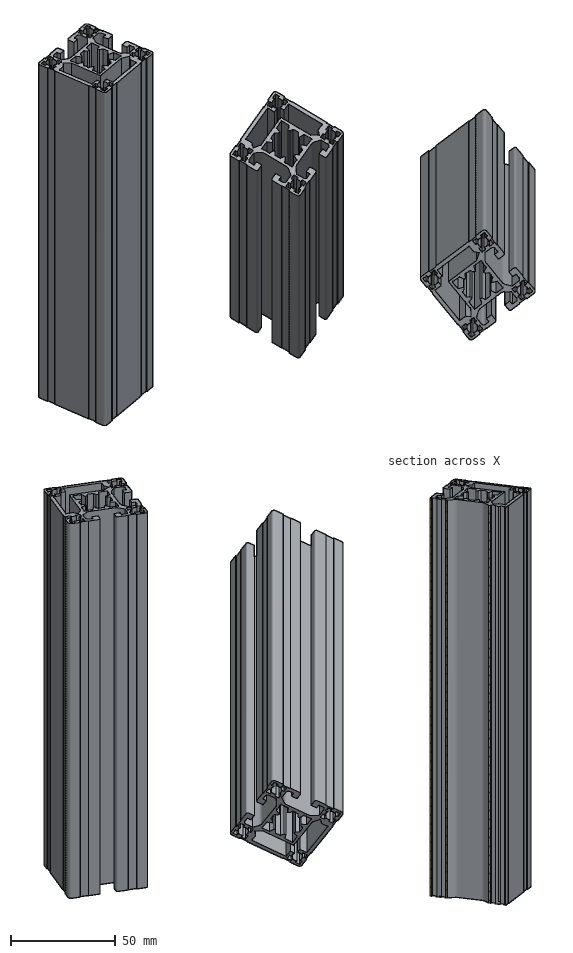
import cadquery as cq
import math

SIDE = 40.0
LENGTH = 200.0
HALF = SIDE / 2
CORNER_RADIUS = 1.5

CORE_OUTER = 10.0
CORE_INNER = 8.7
PANEL_INNER = 17.8
CHAMBER_WALL = 10.6

GROOVE_NEAR = 10.0
GROOVE_FAR = 14.2
GROOVE_DEPTH = 0.45
FACE_INSET = 0.2
FACE = HALF - FACE_INSET

CHANNEL_CENTRE = 15.2
CHANNEL_SIDE = 7.0
KEY_WIDTH = 2.5
CHANNEL_BORE_RADIUS = 2.55

SLOT_HALF_OPENING = 4.0
LIP_HALF_OUTER = 7.1
LIP_BOTTOM = 15.8
LIP_EDGE_RADIUS = 1.0
SLOT_CORNER_RADIUS = 1.3
SLOT_TAPER_START = 12.6
TAPER_HALF_FLOOR = 7.2
SLOT_TAPER_BLEND = 3.0

RIB_CIRCLE_RADIUS = 6.9
RIB_OUTER_FOOT = 4.3
RIB_OUTER_TIP = 3.3
RIB_INNER_TIP = 2.35
RIB_INNER_FOOT = 1.5
RIB_FOOT_WALL = 8.55
RIB_VALLEY = 8.0

CHAMBER_END = 8.7
CHAMBER_POINT = 12.3
CHAMBER_STEP = 14.2

QUARTER_TURNS = (0, 90, 180, 270)
SLOT_TURNS = (0, 90)


def prism(points):
    return cq.Workplane("XY").polyline(points).close().extrude(LENGTH)


def block(x_min, x_max, y_min, y_max):
    return prism([(x_min, y_min), (x_max, y_min), (x_max, y_max), (x_min, y_max)])


def rod(radius, x=0, y=0):
    return cq.Workplane("XY").center(x, y).circle(radius).extrude(LENGTH)


def turned(body, angle):
    return body.rotate((0, 0, 0), (0, 0, 1), angle)


def mirrored_pair(right_half):
    """Symmetric outline from the points of its right half, listed from the axis outwards."""
    left_half = [(-x, y) for x, y in reversed(right_half)]
    return left_half + right_half


def face_relief():
    """Recessed middle of the +Y face with a deeper groove on each side of it."""
    groove_floor = HALF - GROOVE_DEPTH
    relief = block(-GROOVE_NEAR, GROOVE_NEAR, FACE, HALF)
    relief = relief.union(block(-GROOVE_FAR, -GROOVE_NEAR, groove_floor, HALF))
    return relief.union(block(GROOVE_NEAR, GROOVE_FAR, groove_floor, HALF))


def corner_channel():
    """Square void in the +X +Y corner with a key standing in from each side."""
    half_side = CHANNEL_SIDE / 2
    half_key = KEY_WIDTH / 2
    void = block(-half_side, half_side, -half_side, half_side)
    void = void.cut(block(-half_side, half_side, -half_key, half_key))
    void = void.cut(block(-half_key, half_key, -half_side, half_side))
    void = void.union(rod(CHANNEL_BORE_RADIUS))
    return void.translate((CHANNEL_CENTRE, CHANNEL_CENTRE, 0))


def lip_flare():
    """Widening of the slot mouth that rounds the outer edges of both lips."""
    half_width = SLOT_HALF_OPENING + LIP_EDGE_RADIUS
    arc_centre_y = FACE - LIP_EDGE_RADIUS
    flare = block(-half_width, half_width, arc_centre_y, FACE)
    for arc_centre_x in (-half_width, half_width):
        flare = flare.cut(rod(LIP_EDGE_RADIUS, arc_centre_x, arc_centre_y))
    return flare


def t_slot():
    """Hooked slot opening to +Y."""
    chamber = prism(mirrored_pair([
        (TAPER_HALF_FLOOR, CORE_OUTER),
        (CHAMBER_WALL, SLOT_TAPER_START),
        (CHAMBER_WALL, PANEL_INNER),
    ]))
    chamber = chamber.edges("|Z and >Y").fillet(SLOT_CORNER_RADIUS)
    chamber = chamber.edges("|Z and <Y").fillet(SLOT_TAPER_BLEND)
    hooks = block(-LIP_HALF_OUTER, LIP_HALF_OUTER, LIP_BOTTOM, HALF)
    opening = block(-SLOT_HALF_OPENING, SLOT_HALF_OPENING, LIP_BOTTOM, HALF)
    return chamber.cut(hooks).union(opening).union(lip_flare())


def rib_pair():
    """Two ribs on the +Y wall of the central void and the thicker wall between them."""
    outer_tip_y = math.sqrt(RIB_CIRCLE_RADIUS**2 - RIB_OUTER_TIP**2)
    inner_tip_y = math.sqrt(RIB_CIRCLE_RADIUS**2 - RIB_INNER_TIP**2)
    return prism(mirrored_pair([
        (RIB_INNER_FOOT, RIB_VALLEY),
        (RIB_INNER_TIP, inner_tip_y),
        (RIB_OUTER_TIP, outer_tip_y),
        (RIB_OUTER_FOOT, RIB_FOOT_WALL),
        (CORE_INNER, CORE_INNER),
    ]))


def core_void():
    void = block(-CORE_INNER, CORE_INNER, -CORE_INNER, CORE_INNER)
    for angle in QUARTER_TURNS:
        void = void.cut(turned(rib_pair(), angle))
    return void


def l_chamber():
    """L-shaped void along the +X and -Y sides, open into the corner channel there."""
    stub_end = CHANNEL_CENTRE - KEY_WIDTH / 2
    return prism([
        (-TAPER_HALF_FLOOR, -CORE_OUTER),
        (CORE_OUTER, -CORE_OUTER),
        (CORE_OUTER, TAPER_HALF_FLOOR),
        (CHAMBER_POINT, CHAMBER_WALL),
        (CHAMBER_STEP, CHAMBER_END),
        (PANEL_INNER, CHAMBER_END),
        (PANEL_INNER, -CHAMBER_WALL),
        (stub_end, -CHAMBER_WALL),
        (stub_end, -stub_end),
        (CHAMBER_WALL, -stub_end),
        (CHAMBER_WALL, -PANEL_INNER),
        (-CHAMBER_END, -PANEL_INNER),
        (-CHAMBER_END, -CHAMBER_STEP),
        (-CHAMBER_WALL, -CHAMBER_POINT),
    ])


profile = block(-HALF, HALF, -HALF, HALF).edges("|Z").fillet(CORNER_RADIUS)
for angle in QUARTER_TURNS:
    profile = profile.cut(turned(face_relief(), angle))
    profile = profile.cut(turned(corner_channel(), angle))
for angle in SLOT_TURNS:
    profile = profile.cut(turned(t_slot(), angle))
profile = profile.cut(core_void())
profile = profile.cut(l_chamber())

result = profile